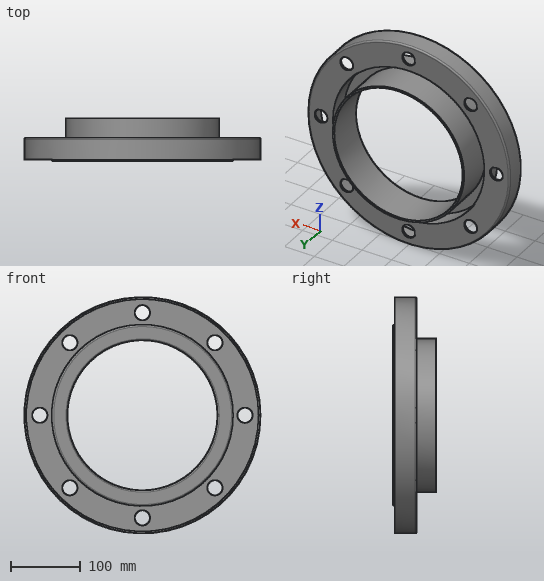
import cadquery as cq

full_turn = 360.0

wall = 3.0
bend_radius = 2.5

rim_diameter = 340.0
hub_diameter = 261.0
spigot_diameter = 221.5

hub_face = 0.0
rim_front = 2.5
plate_back = 34.0
spigot_end = 62.0

hole_count = 8
hole_diameter = 21.5
bolt_circle_diameter = 295.0


def make_pressed_body():
    """Revolve the folded wall section (radius, Y) about the Y axis.

    From the axis outwards the wall forms a spigot tube, a flat hub face,
    a hub wall, a bolting plate and a rim that reaches forward.
    """
    rim_outer = rim_diameter / 2
    rim_inner = rim_outer - wall
    hub_outer = hub_diameter / 2
    hub_inner = hub_outer - wall
    spigot_outer = spigot_diameter / 2
    bore = spigot_outer - wall
    hub_back = hub_face + wall
    plate_front = plate_back - wall

    section = (
        cq.Workplane("XY")
        .moveTo(bore, spigot_end)
        .lineTo(spigot_outer, spigot_end)
        .lineTo(spigot_outer, hub_back)
        .lineTo(hub_inner, hub_back)
        .lineTo(hub_inner, plate_back)
        .lineTo(rim_outer - bend_radius, plate_back)
        .radiusArc((rim_outer, plate_back - bend_radius), bend_radius)
        .lineTo(rim_outer, rim_front)
        .lineTo(rim_inner, rim_front)
        .lineTo(rim_inner, plate_front)
        .lineTo(hub_outer, plate_front)
        .lineTo(hub_outer, hub_face + bend_radius)
        .radiusArc((hub_outer - bend_radius, hub_face), bend_radius)
        .lineTo(bore + bend_radius, hub_face)
        .radiusArc((bore, hub_face + bend_radius), bend_radius)
        .close()
    )
    return section.revolve(full_turn, (0, 0, 0), (0, 1, 0))


def make_bolt_holes():
    """Ring of cylinders along Y that pass through the bolting plate."""
    return (
        cq.Workplane("XZ")
        .polarArray(bolt_circle_diameter / 2, 0, full_turn, hole_count)
        .circle(hole_diameter / 2)
        .extrude(-plate_back)
    )


result = make_pressed_body().cut(make_bolt_holes())